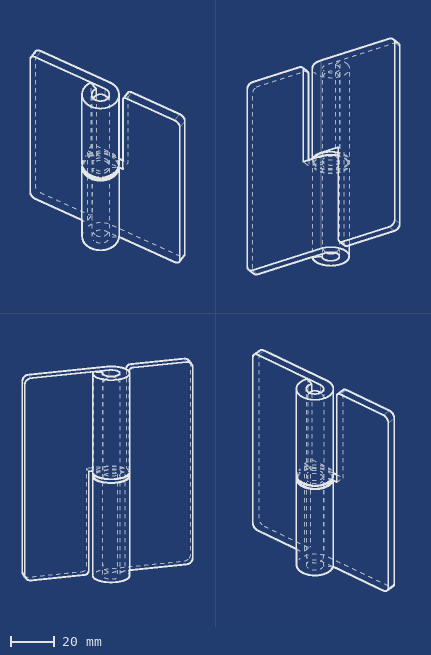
import cadquery as cq
import math

hinge_width = 80.0
hinge_height = 100.0
plate_thickness = 4.5
pin_radius = 4.0
knuckle_radius = pin_radius + plate_thickness
knuckle_gap = 1.8
leaf_clearance = 1.0
outer_corner_radius = 3.0
notch_corner_radius = 2.0
curl_end_angle = 152.0
washer_radius = 8.0
pin_end_recess = 2.0

leaf_edge = hinge_width / 2
notch_edge = knuckle_radius + leaf_clearance
half_height = hinge_height / 2
knuckle_length = (hinge_height - knuckle_gap) / 2


def polar_point(radius, degrees):
    angle = math.radians(degrees)
    return (radius * math.cos(angle), radius * math.sin(angle))


def make_flat_plate():
    """Full-height flat part of the left leaf, with rounded corners."""
    plate = cq.Workplane("XY").box(
        leaf_edge - notch_edge, plate_thickness, hinge_height, centered=False
    ).translate((-leaf_edge, pin_radius, -half_height))
    plate = plate.edges("|Y and <X").fillet(outer_corner_radius)
    return plate.edges("|Y and >X and <Z").fillet(notch_corner_radius)


def make_rolled_knuckle():
    """Upper plate strip that rolls clockwise around the pin."""
    return (
        cq.Workplane("XY")
        .workplane(offset=half_height - knuckle_length)
        .moveTo(-notch_edge, knuckle_radius)
        .lineTo(0, knuckle_radius)
        .threePointArc((0, -knuckle_radius), polar_point(knuckle_radius, curl_end_angle))
        .lineTo(*polar_point(pin_radius, curl_end_angle))
        .threePointArc((0, -pin_radius), (0, pin_radius))
        .lineTo(-notch_edge, pin_radius)
        .close()
        .extrude(knuckle_length)
    )


def make_leaf(turn):
    """One leaf, turned about Y: 0 for the upper knuckle, 180 for the lower."""
    leaf = make_flat_plate().union(make_rolled_knuckle())
    return leaf.rotate((0, 0, 0), (0, 1, 0), turn)


def make_washer():
    return (
        cq.Workplane("XY")
        .workplane(offset=-knuckle_gap / 2)
        .circle(washer_radius)
        .circle(pin_radius)
        .extrude(knuckle_gap)
    )


def make_pin():
    """Round pin with a hemispherical dome at each end."""
    tip = half_height - pin_end_recess
    dome_base = tip - pin_radius
    arc_x, arc_rise = polar_point(pin_radius, 45)
    return (
        cq.Workplane("XZ")
        .moveTo(0, -tip)
        .threePointArc((arc_x, -dome_base - arc_rise), (pin_radius, -dome_base))
        .lineTo(pin_radius, dome_base)
        .threePointArc((arc_x, dome_base + arc_rise), (0, tip))
        .close()
        .revolve(360, (0, 0, 0), (0, 1, 0))
    )


leaves = [make_leaf(turn) for turn in (0, 180)]
washer = make_washer()
pin = make_pin()

result = cq.Compound.makeCompound([*(leaf.val() for leaf in leaves), washer.val(), pin.val()])